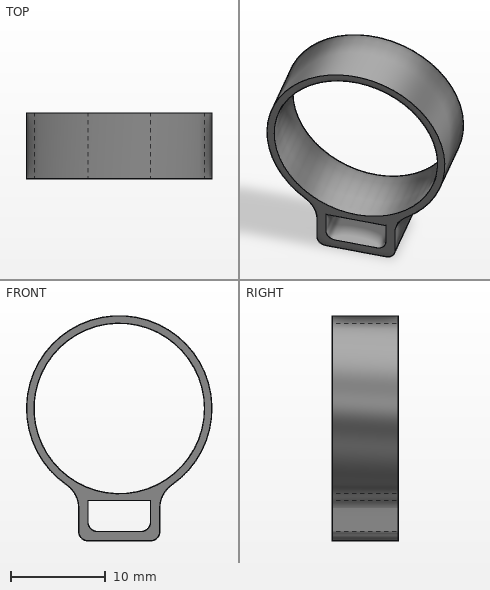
import cadquery as cq
import math

overall_height = 23.8
band_width = 7.0
bore_diameter = 18.0
band_diameter = 19.6
leg_width = 8.6
leg_wall = 1.0
corner_radius = 1.0
neck_fillet_radius = 3.0
web_thickness = 0.74

bore_radius = bore_diameter / 2
band_radius = band_diameter / 2
half_leg = leg_width / 2
leg_bottom = band_radius - overall_height
window_width = leg_width - 2 * leg_wall
window_top = -(bore_radius + web_thickness)
window_bottom = leg_bottom + leg_wall

fillet_center_x = half_leg + neck_fillet_radius
fillet_center_distance = band_radius + neck_fillet_radius
fillet_center_z = -math.sqrt(fillet_center_distance**2 - fillet_center_x**2)
tangent_ratio = band_radius / fillet_center_distance
neck_x = fillet_center_x * tangent_ratio
neck_z = fillet_center_z * tangent_ratio


def profile_plane():
    """XZ workplane on the +Y face of the band; positive extrusion runs toward -Y."""
    return cq.Workplane("XZ", origin=(0, band_width / 2, 0))


def cylinder(radius):
    return profile_plane().circle(radius).extrude(band_width)


def leg():
    """Leg with rounded lower corners, flaring into the ring through the neck fillets."""
    block = (
        profile_plane()
        .moveTo(-neck_x, neck_z)
        .radiusArc((-half_leg, fillet_center_z), neck_fillet_radius)
        .lineTo(-half_leg, leg_bottom)
        .lineTo(half_leg, leg_bottom)
        .lineTo(half_leg, fillet_center_z)
        .radiusArc((neck_x, neck_z), neck_fillet_radius)
        .lineTo(0, 0)
        .close()
        .extrude(band_width)
    )
    return block.edges("|Y and <Z").fillet(corner_radius)


def window():
    """Opening through the leg: square upper corners and rounded lower corners."""
    opening = (
        profile_plane()
        .center(0, (window_top + window_bottom) / 2)
        .rect(window_width, window_top - window_bottom)
        .extrude(band_width)
    )
    return opening.edges("|Y and <Z").fillet(corner_radius)


result = cylinder(band_radius).union(leg()).cut(cylinder(bore_radius)).cut(window())